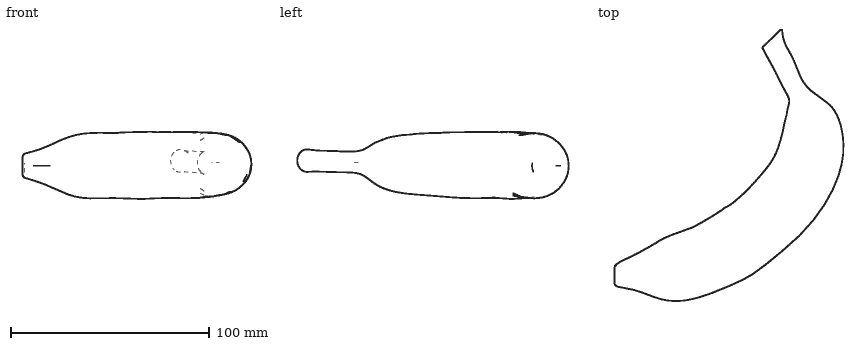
import cadquery as cq
import math


TIP_ROUNDING = 2.2

TIP_SECTIONS = [
    ((0, 17.8), (0, 7.8), 11.4, -0.3),
    ((6.8, 21.8), (7.7, 6.0), 15.9, -0.4),
    ((13.4, 25.0), (15, 3.8), 21.4, -0.4),
]
BODY_SECTIONS = [
    ((23.3, 30.8), (27.4, 0.1), 30.4, -0.4),
    ((33.1, 34.9), (43.0, 1.9), 33.1, -0.3),
    ((46.5, 41.2), (59.4, 8.2), 33.5, -0.1),
    ((59.4, 49.5), (75.8, 18.1), 33.5, 0),
    ((71.6, 61.0), (92.3, 32.0), 33.5, 0),
    ((79.1, 70.5), (105.4, 47.9), 32.9, 0.1),
    ((83.5, 80.8), (113.6, 65.5), 31.2, 0.4),
    ((86.0, 91.7), (115.1, 82.8), 28.2, 0.5),
]
NECK_SECTIONS = [
    ((87.0, 96.7), (111.7, 94.5), 23.0, 0.8),
    ((88.0, 100.5), (104.7, 101.7), 15.9, 1.1),
    ((87.2, 103.4), (97.9, 107.0), 11.8, 1.4),
]
STEM_SECTIONS = [
    ((83.5, 110.3), (92.3, 116.5), 10.7, 1.6),
    ((78.5, 120.2), (87.9, 126), 10.7, 1.9),
    ((74.6, 127.3), (84.9, 133.5), 11.2, 2.2),
    ((70.5, 134.5), (82.1, 141.4), 11.5, 2.5),
]

STEM_END_INNER = (74.5, 127.7)
STEM_END_OUTER = (83.9, 136.9)
STEM_END_ROUNDING = 0.5
TRIM_SIZE = 54.8


def cross_section(inner, outer, thickness, centre_height):
    """Ellipse standing upright on the line from the inner to the outer point."""
    across_x = outer[0] - inner[0]
    across_y = outer[1] - inner[1]
    plane = cq.Plane(
        origin=((inner[0] + outer[0]) / 2, (inner[1] + outer[1]) / 2, centre_height),
        xDir=(across_x, across_y, 0),
        normal=(-across_y, across_x, 0),
    )
    half_width = math.hypot(across_x, across_y) / 2
    return cq.Workplane(plane).ellipse(half_width, thickness / 2).wires().val()


def untrimmed_banana():
    sections = TIP_SECTIONS + BODY_SECTIONS + NECK_SECTIONS + STEM_SECTIONS
    wires = [cross_section(*section) for section in sections]
    return cq.Workplane(cq.Solid.makeLoft(wires))


def stem_end_plane():
    """Plane of the slanted stem end, facing away from the fruit."""
    along_x = STEM_END_OUTER[0] - STEM_END_INNER[0]
    along_y = STEM_END_OUTER[1] - STEM_END_INNER[1]
    return cq.Plane(
        origin=(*STEM_END_INNER, 0),
        xDir=(along_x, along_y, 0),
        normal=(-along_y, along_x, 0),
    )


end_plane = stem_end_plane()
stem_trim = cq.Workplane(end_plane).rect(TRIM_SIZE, TRIM_SIZE).extrude(TRIM_SIZE)
banana = untrimmed_banana().cut(stem_trim)

banana = banana.faces("<X").edges().fillet(TIP_ROUNDING)
stem_end_face = cq.selectors.DirectionMinMaxSelector(end_plane.zDir)
result = banana.faces(stem_end_face).edges().fillet(STEM_END_ROUNDING)